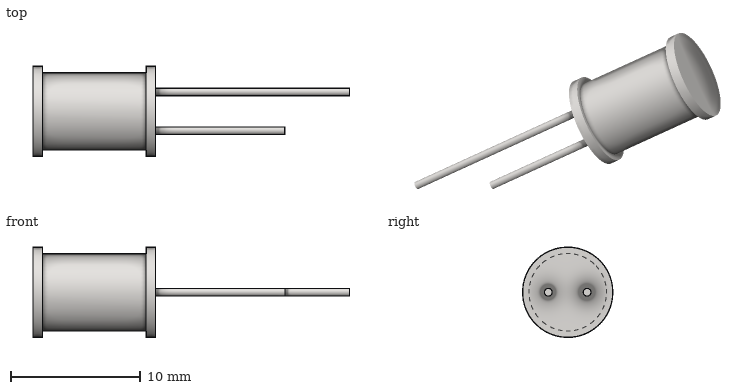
import cadquery as cq

body_length = 9.5
flange_diameter = 7.0
flange_thickness = 0.75
core_diameter = 6.0

lead_diameter = 0.6
lead_spacing = 3.0
long_lead_length = 15.0
short_lead_length = 10.0


def disc_along_x(start_x, length, diameter, centre_y=0):
    """Solid cylinder parallel to X, beginning at start_x."""
    return (
        cq.Workplane("YZ", origin=(start_x, centre_y, 0))
        .circle(diameter / 2)
        .extrude(length)
    )


def make_spool():
    """Cylindrical core with an equal flange at each end."""
    spool = disc_along_x(0, body_length, core_diameter)
    for flange_start in (0, body_length - flange_thickness):
        spool = spool.union(disc_along_x(flange_start, flange_thickness, flange_diameter))
    return spool


def make_lead(centre_y, length):
    """Round lead standing on the +X end face of the spool."""
    return disc_along_x(body_length, length, lead_diameter, centre_y)


long_lead = make_lead(lead_spacing / 2, long_lead_length)
short_lead = make_lead(-lead_spacing / 2, short_lead_length)

result = make_spool().union(long_lead).union(short_lead)